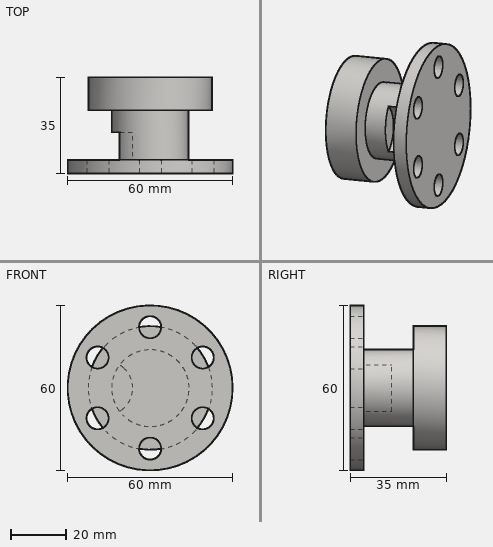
import cadquery as cq

flange_diameter = 60.0
flange_thickness = 5.0
hole_diameter = 8.0
hole_count = 6
hole_circle_radius = 22.0

neck_diameter = 28.0
neck_length = 18.0
disc_diameter = 45.0
disc_thickness = 12.0

relief_radius = 10.0
relief_center_x = -16.5
relief_length = 10.0

total_length = flange_thickness + neck_length + disc_thickness
front_y = -total_length / 2
flange_back_y = front_y + flange_thickness
disc_front_y = flange_back_y + neck_length


def plane_at(y, x=0):
    """Plane facing +Y, with local x along +X and local y along -Z."""
    return cq.Workplane(cq.Plane(origin=(x, y, 0), xDir=(1, 0, 0), normal=(0, 1, 0)))


def cylinder(diameter, length, start_y, x=0):
    """Cylinder running toward +Y from start_y."""
    return plane_at(start_y, x).circle(diameter / 2).extrude(length)


def make_flange():
    holes = (
        plane_at(front_y)
        .polarArray(hole_circle_radius, 90, 360, hole_count)
        .circle(hole_diameter / 2)
        .extrude(flange_thickness)
    )
    return cylinder(flange_diameter, flange_thickness, front_y).cut(holes)


def make_neck():
    relief = cylinder(2 * relief_radius, relief_length, flange_back_y, relief_center_x)
    return cylinder(neck_diameter, neck_length, flange_back_y).cut(relief)


disc = cylinder(disc_diameter, disc_thickness, disc_front_y)
result = make_flange().union(make_neck()).union(disc)